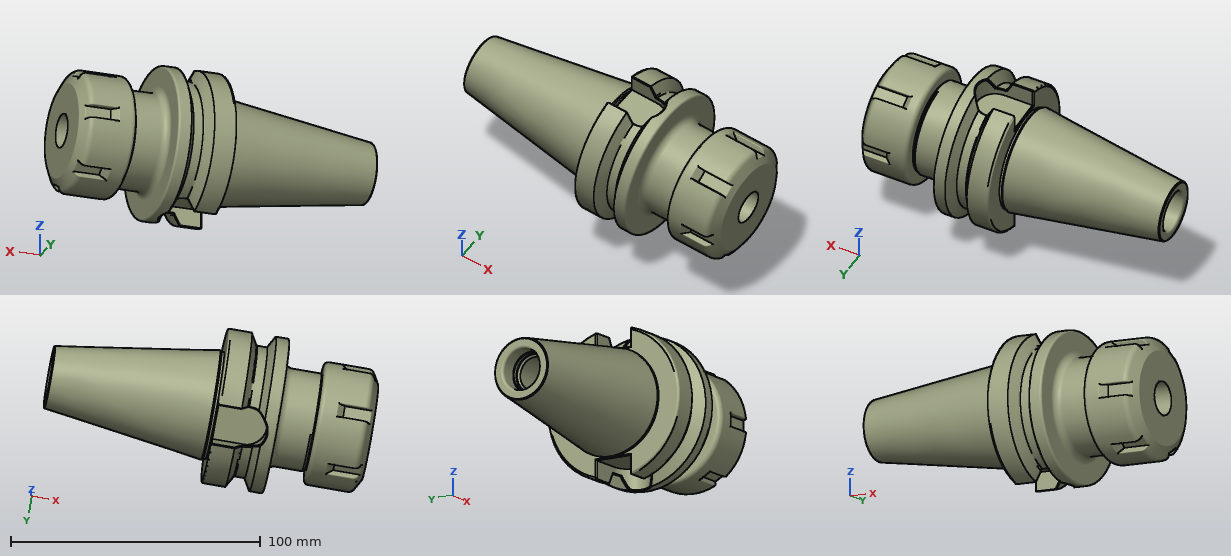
import cadquery as cq
import math

TOTAL_LENGTH = 130.7
TAPER_LENGTH = 65.7
TAPER_LARGE_RADIUS = 22.3
TAPER_PER_LENGTH = 7 / 24
TAPER_SMALL_RADIUS = TAPER_LARGE_RADIUS - TAPER_LENGTH * TAPER_PER_LENGTH / 2
TAPER_END_CHAMFER = 0.4
RELIEF_START = 66.4
RELIEF_RADIUS = 21.8

FLANGE_START = 67.4
FLANGE_END = 92.4
FLANGE_RADIUS = 31.5
FLANGE_FILLET = 0.9
GROOVE_START = 79.5
GROOVE_END = 84.2
GROOVE_FLOOR_RADIUS = 26.7
GROOVE_CORNER_RADIUS = 0.7
GROOVE_FLANK_ANGLE = 30.0

NECK_RADIUS = 20.0
NECK_FILLET = 3.0
NECK_CHAMFER_START = 107.3
NECK_RELIEF_START = 106.4
SPIGOT_RADIUS = 19.3
SPIGOT_END = 122.8

BORE_RADIUS = 6.9
COUNTERBORE_RADIUS = 8.6
COUNTERBORE_DEPTH = 7.3
COUNTERBORE_FILLET = 1.0
STEP_RADIUS = 8.2
STEP_DEPTH = 9.1
THREAD_CHAMFER = 0.9

KEYWAY_WIDTH = 16.1
KEYWAY_FLOOR = 22.5
KEYWAY_END = 88.6
KEYWAY_CHAMFER = 0.5
KEYWAY_RIM_CHAMFER = 0.4

NUT_START = 107.8
NUT_DIAMETER = 50.0
NUT_RADIUS = NUT_DIAMETER / 2
NUT_REAR_FILLET = 2.0
NUT_FACE_RADIUS = 19.3
NUT_CONE_ANGLE = 30.0
NUT_CONE_FILLET = 2.6
NUT_FACE_FILLET = 0.5

SLOT_COUNT = 6
SLOT_WIDTH = 5.4
SLOT_RIM_FILLET = 0.4
SLOT_FLOOR_RADIUS = 22.2
SLOT_LONG_START = 112.8
SLOT_SHORT_START = 115.3

TOLERANCE = 0.01


def revolve_about_x(outline):
    """Revolve a closed (x, radius) outline drawn on the XZ plane about the X axis."""
    return outline.close().revolve(360, (0, 0, 0), (1, 0, 0))


def holder_blank():
    """Solid of revolution: taper, flange, gripper groove, neck and spigot."""
    wall_radius = GROOVE_FLOOR_RADIUS + GROOVE_CORNER_RADIUS
    flank_slope = math.tan(math.radians(GROOVE_FLANK_ANGLE))
    left_flank_length = (FLANGE_RADIUS - wall_radius) * flank_slope
    right_flank_length = (FLANGE_RADIUS - GROOVE_FLOOR_RADIUS) * flank_slope
    groove_corner_end = (GROOVE_START + GROOVE_CORNER_RADIUS, GROOVE_FLOOR_RADIUS)
    corner = FLANGE_FILLET
    neck_fillet_start = (FLANGE_END, NECK_RADIUS + NECK_FILLET)
    neck_fillet_end = (FLANGE_END + NECK_FILLET, NECK_RADIUS)
    outline = (
        cq.Workplane("XZ")
        .moveTo(0, 0)
        .lineTo(0, TAPER_SMALL_RADIUS - TAPER_END_CHAMFER)
        .lineTo(TAPER_END_CHAMFER, TAPER_SMALL_RADIUS)
        .lineTo(TAPER_LENGTH, TAPER_LARGE_RADIUS)
        .lineTo(RELIEF_START, RELIEF_RADIUS)
        .lineTo(FLANGE_START, RELIEF_RADIUS)
        .lineTo(FLANGE_START, FLANGE_RADIUS - corner)
        .radiusArc((FLANGE_START + corner, FLANGE_RADIUS), corner)
        .lineTo(GROOVE_START - left_flank_length, FLANGE_RADIUS)
        .lineTo(GROOVE_START, wall_radius)
        .radiusArc(groove_corner_end, -GROOVE_CORNER_RADIUS)
        .lineTo(GROOVE_END, GROOVE_FLOOR_RADIUS)
        .lineTo(GROOVE_END + right_flank_length, FLANGE_RADIUS)
        .lineTo(FLANGE_END - corner, FLANGE_RADIUS)
        .radiusArc((FLANGE_END, FLANGE_RADIUS - corner), corner)
        .lineTo(*neck_fillet_start)
        .radiusArc(neck_fillet_end, -NECK_FILLET)
        .lineTo(NECK_CHAMFER_START, NECK_RADIUS)
        .lineTo(NUT_START, SPIGOT_RADIUS)
        .lineTo(SPIGOT_END, SPIGOT_RADIUS)
        .lineTo(SPIGOT_END, 0)
    )
    return revolve_about_x(outline)


def holder_bore():
    """Cutter for the through bore and the rounded, stepped counterbore at the small end."""
    outline = (
        cq.Workplane("XZ")
        .moveTo(0, 0)
        .lineTo(0, COUNTERBORE_RADIUS + COUNTERBORE_FILLET)
        .radiusArc((COUNTERBORE_FILLET, COUNTERBORE_RADIUS), -COUNTERBORE_FILLET)
        .lineTo(COUNTERBORE_DEPTH, COUNTERBORE_RADIUS)
        .lineTo(COUNTERBORE_DEPTH, STEP_RADIUS)
        .lineTo(STEP_DEPTH, STEP_RADIUS)
        .lineTo(STEP_DEPTH, BORE_RADIUS + THREAD_CHAMFER)
        .lineTo(STEP_DEPTH + THREAD_CHAMFER, BORE_RADIUS)
        .lineTo(SPIGOT_END, BORE_RADIUS)
        .lineTo(SPIGOT_END, 0)
    )
    return revolve_about_x(outline)


def neck_relief():
    """Cutter that widens the gap behind the nut on the +Y half of the neck."""
    outline = (
        cq.Workplane("XZ")
        .moveTo(NECK_RELIEF_START, NECK_RADIUS)
        .lineTo(NECK_CHAMFER_START, SPIGOT_RADIUS)
        .lineTo(NUT_START, SPIGOT_RADIUS)
        .lineTo(NUT_START, NECK_RADIUS)
        .close()
    )
    return outline.revolve(180, (0, 0, 0), (-1, 0, 0))


def keyway():
    """Round-ended cutter for the +Z keyway, widened by a chamfer at the flange face."""
    half = KEYWAY_WIDTH / 2
    arc_centre = KEYWAY_END - half
    height = FLANGE_RADIUS - KEYWAY_FLOOR
    slot = (
        cq.Workplane("XY", origin=(0, 0, KEYWAY_FLOOR))
        .moveTo(FLANGE_START, -half)
        .lineTo(arc_centre, -half)
        .threePointArc((KEYWAY_END, 0), (arc_centre, half))
        .lineTo(FLANGE_START, half)
        .close()
        .extrude(height)
    )
    mouth = (
        cq.Workplane("YZ", origin=(FLANGE_START, 0, KEYWAY_FLOOR + height / 2))
        .rect(KEYWAY_WIDTH + 2 * KEYWAY_CHAMFER, height + 2 * KEYWAY_CHAMFER)
        .workplane(offset=KEYWAY_CHAMFER)
        .rect(KEYWAY_WIDTH, height)
        .loft()
    )
    return slot.union(mouth)


def is_keyway_rim(edge):
    """True for the outer edges of both keyways, behind the chamfer at the flange face."""
    box = edge.BoundingBox()
    above_floor = max(box.zmin, -box.zmax) > KEYWAY_FLOOR + TOLERANCE
    between_sides = max(box.ymax, -box.ymin) < KEYWAY_WIDTH / 2 + TOLERANCE
    rim_start = FLANGE_START + KEYWAY_CHAMFER
    along_keyway = box.xmin > rim_start - TOLERANCE and box.xmax < KEYWAY_END + TOLERANCE
    return above_floor and between_sides and along_keyway


def make_holder():
    upper_keyway = keyway()
    lower_keyway = upper_keyway.rotate((0, 0, 0), (1, 0, 0), 180)
    turned = holder_blank().cut(holder_bore()).cut(neck_relief())
    slotted = turned.cut(upper_keyway).cut(lower_keyway)
    return slotted.edges().filter(is_keyway_rim).chamfer(KEYWAY_RIM_CHAMFER)


def nut_blank():
    """Solid of revolution: rounded rear edge, front cone, socket for the spigot and bore."""
    cone_angle = math.radians(NUT_CONE_ANGLE)
    cone_length = (NUT_RADIUS - NUT_FACE_RADIUS) * math.tan(cone_angle)
    cone_start = TOTAL_LENGTH - cone_length
    tangent = NUT_CONE_FILLET * math.tan((math.pi / 2 - cone_angle) / 2)
    cone_arc_end = (
        cone_start + tangent * math.sin(cone_angle),
        NUT_RADIUS - tangent * math.cos(cone_angle),
    )
    face_tangent = NUT_FACE_FILLET * math.tan(cone_angle / 2)
    face_arc_start = (
        TOTAL_LENGTH - face_tangent * math.sin(cone_angle),
        NUT_FACE_RADIUS + face_tangent * math.cos(cone_angle),
    )
    outline = (
        cq.Workplane("XZ")
        .moveTo(NUT_START, SPIGOT_RADIUS)
        .lineTo(NUT_START, NUT_RADIUS - NUT_REAR_FILLET)
        .radiusArc((NUT_START + NUT_REAR_FILLET, NUT_RADIUS), NUT_REAR_FILLET)
        .lineTo(cone_start - tangent, NUT_RADIUS)
        .radiusArc(cone_arc_end, NUT_CONE_FILLET)
        .lineTo(*face_arc_start)
        .radiusArc((TOTAL_LENGTH, NUT_FACE_RADIUS - face_tangent), NUT_FACE_FILLET)
        .lineTo(TOTAL_LENGTH, BORE_RADIUS)
        .lineTo(SPIGOT_END, BORE_RADIUS)
        .lineTo(SPIGOT_END, SPIGOT_RADIUS)
    )
    return revolve_about_x(outline)


def wrench_slot(start):
    """Cutter for a slot on the +Y side with straight sides and a 45 degree rear end."""
    depth = NUT_RADIUS - SLOT_FLOOR_RADIUS
    return (
        cq.Workplane("XY")
        .moveTo(start, NUT_RADIUS)
        .lineTo(start + depth, SLOT_FLOOR_RADIUS)
        .lineTo(TOTAL_LENGTH, SLOT_FLOOR_RADIUS)
        .lineTo(TOTAL_LENGTH, NUT_RADIUS)
        .close()
        .extrude(SLOT_WIDTH / 2, both=True)
    )


def is_slot_rim(edge):
    """True for the edges where the slot on the +Y side breaks the outside of the nut."""
    box = edge.BoundingBox()
    above_floor = box.ymin > SLOT_FLOOR_RADIUS - TOLERANCE
    between_sides = max(box.zmax, -box.zmin) < SLOT_WIDTH / 2 + TOLERANCE
    is_inner_corner = edge.geomType() == "LINE" and box.ymin < SLOT_FLOOR_RADIUS + TOLERANCE
    return above_floor and between_sides and not is_inner_corner


def make_nut():
    """Cut and round the slots one at a time at +Y, turning the nut between them.

    The turns add up to a full circle, which brings the nut back to where it started.
    """
    nut = nut_blank()
    step = 360 / SLOT_COUNT
    for index in range(SLOT_COUNT):
        is_upper = 0 < index * step < 180
        slot_start = SLOT_LONG_START if is_upper else SLOT_SHORT_START
        nut = nut.cut(wrench_slot(slot_start))
        rim = nut.edges().filter(is_slot_rim)
        nut = rim.fillet(SLOT_RIM_FILLET).rotate((0, 0, 0), (1, 0, 0), -step)
    return nut


holder = make_holder()
nut = make_nut()
result = cq.Compound.makeCompound([holder.solids().val(), nut.solids().val()])